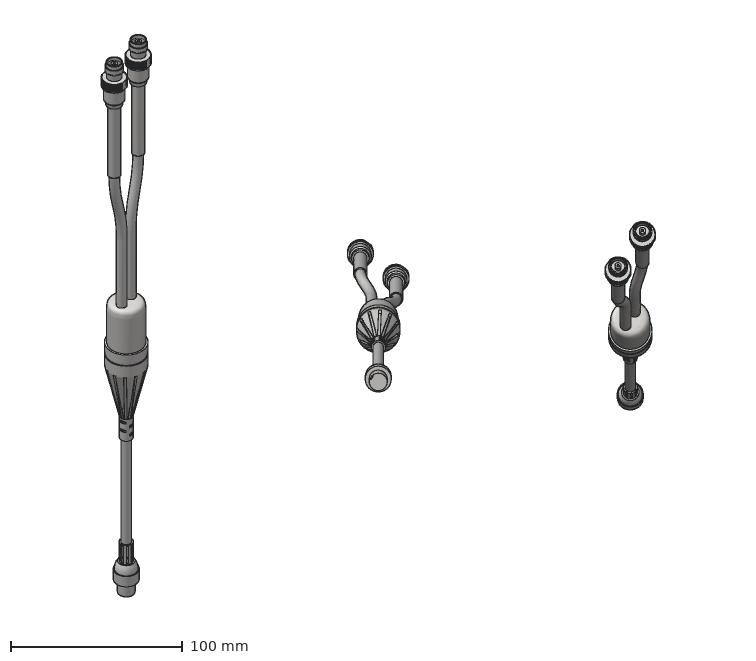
import cadquery as cq
import math

OVERALL_LENGTH = 399.35
CABLE_DIAMETER = 6.35
COLLAR_DIAMETER = 15.24

KEY_WIDTH = 2.03
KEY_THICKNESS = 0.79
KEY_LENGTH = 3.0
BARREL_DIAMETER = 10.6
BARREL_BOTTOM = 0.8
BARREL_CHAMFER_WIDTH = 0.15
BARREL_CHAMFER_HEIGHT = 1.2
PLUG_COLLAR_BOTTOM = 10.2
PLUG_COLLAR_TOP = 17.8
DOME_BASE_DIAMETER = 14.0
DOME_TOP_DIAMETER = 10.16
DOME_TOP = 23.8
DOME_BULGE = 0.6

GRIP_DIAMETER = 8.26
PLUG_GRIP_TOP = 37.8
FLUTE_COUNT = 8
FLUTE_WIDTH = 1.27
FLUTE_DEPTH = 0.5
GRIP_BAND_Z = 28.4
GRIP_BAND_WIDTH = 1.0
GRIP_RIM = 0.7

BOOT_BOTTOM = 114.7
BOOT_CONE_BOTTOM = 130.7
BOOT_SLOT_COUNT = 2
BOOT_SLOT_HEIGHT = 1.27
BOOT_SLOT_PITCH = 6.2
BOOT_SLOT_DEPTH = 0.55
BOOT_FIRST_SLOT_Z = 118.8
CONE_FLUTE_COUNT = 12
CONE_FLUTE_WIDTH = 1.6
CONE_FLUTE_TOP_DEPTH = 2.0
CONE_FLUTE_BOTTOM_DEPTH = 0.4

HOUSING_BOTTOM = 168.0
HOUSING_STEP = 184.9
HOUSING_TOP = 215.2
HOUSING_DIAMETER = 23.0
HOUSING_BASE_DIAMETER = 25.35
CROWN_FLAT_DIAMETER = 13.0
CROWN_HEIGHT = 5.08
CROWN_SHOULDER_DIAMETER = 21.2
CROWN_SHOULDER_DROP = 1.1
HOUSING_SEAM_Z = 176.9
HOUSING_SEAM_WIDTH = 0.4
HOUSING_SEAM_DEPTH = 0.3

BRANCH_LOWER_SPACING = 9.65
BRANCH_UPPER_SPACING = 25.4
BEND_BOTTOM = 265.5
BEND_TOP = 316.3
SLEEVE_DIAMETER = 7.8

JACK_DIAMETER = 9.65
JACK_LIP_DIAMETER = 11.0
JACK_LIP_TOP = 2.6
JACK_LIP_BOTTOM = 6.0
JACK_NECK_DIAMETER = 9.0
JACK_COLLAR_TOP = 11.0
JACK_COLLAR_BOTTOM = 17.2
JACK_BODY_DIAMETER = 12.7
JACK_BODY_BOTTOM = 27.0
JACK_TAIL_TOP_DIAMETER = 10.8
JACK_TAIL_TOP = 28.2
JACK_TAIL_BOTTOM_DIAMETER = 10.0
JACK_TAIL_BOTTOM = 31.0
JACK_BORE_DIAMETER = 8.26
JACK_BORE_DEPTH = 6.0
CONTACT_DIAMETER = 3.61
CONTACT_HOLE_DIAMETER = 1.4
CONTACT_RECESS = 1.0
KNURL_COUNT = 36
KNURL_WIDTH = 0.6
KNURL_DEPTH = 0.4
KNURL_RIM = 0.9
COLLAR_FLAT_WIDTH = 4.8


def cylinder(diameter, bottom, top):
    return cq.Workplane("XY", origin=(0, 0, bottom)).circle(diameter / 2).extrude(top - bottom)


def revolve_steps(steps):
    """Solid of revolution about Z from (diameter, z) steps listed bottom to top."""
    profile = [(diameter / 2, z) for diameter, z in steps]
    axis_ends = [(0, steps[-1][1]), (0, steps[0][1])]
    return cq.Workplane("XZ").polyline(profile + axis_ends).close().revolve(360, (0, 0), (0, 1))


def ring_groove(diameter, depth, z, width):
    outer = cylinder(2 * diameter, z - width / 2, z + width / 2)
    return outer.cut(cylinder(diameter - 2 * depth, z - width / 2, z + width / 2))


def around_z(tool, count):
    """Copies of the tool spaced evenly around Z, as one compound."""
    copies = [tool.rotate((0, 0, 0), (0, 0, 1), 360 * i / count).val() for i in range(count)]
    return cq.Workplane(cq.Compound.makeCompound(copies))


def flute(width, bottom, bottom_radius, top, top_radius, reach):
    """Straight cutter on the +X side whose floor runs between the two radii."""
    corners = [(bottom_radius, bottom), (reach, bottom), (reach, top), (top_radius, top)]
    return cq.Workplane("XZ").polyline(corners).close().extrude(width / 2, both=True)


def make_plug():
    barrel = revolve_steps([
        (BARREL_DIAMETER - 2 * BARREL_CHAMFER_WIDTH, BARREL_BOTTOM),
        (BARREL_DIAMETER, BARREL_BOTTOM + BARREL_CHAMFER_HEIGHT),
        (BARREL_DIAMETER, PLUG_COLLAR_BOTTOM),
    ])
    collar = cylinder(COLLAR_DIAMETER, PLUG_COLLAR_BOTTOM, PLUG_COLLAR_TOP)
    dome_middle = (
        (DOME_BASE_DIAMETER + DOME_TOP_DIAMETER) / 4 + DOME_BULGE,
        (PLUG_COLLAR_TOP + DOME_TOP) / 2,
    )
    dome = (
        cq.Workplane("XZ")
        .moveTo(0, PLUG_COLLAR_TOP)
        .lineTo(DOME_BASE_DIAMETER / 2, PLUG_COLLAR_TOP)
        .threePointArc(dome_middle, (DOME_TOP_DIAMETER / 2, DOME_TOP))
        .lineTo(0, DOME_TOP)
        .close()
        .revolve(360, (0, 0), (0, 1))
    )
    key = cq.Workplane("XY").box(KEY_WIDTH, KEY_THICKNESS, KEY_LENGTH, centered=(True, True, False))
    key_y = (BARREL_DIAMETER - KEY_THICKNESS) / 2 - BARREL_CHAMFER_WIDTH
    return barrel.union(collar).union(dome).union(key.translate((0, key_y, 0)))


def make_plug_grip():
    grip = cylinder(GRIP_DIAMETER, DOME_TOP, PLUG_GRIP_TOP)
    floor_radius = GRIP_DIAMETER / 2 - FLUTE_DEPTH
    spans = [
        (DOME_TOP + GRIP_RIM, GRIP_BAND_Z - GRIP_BAND_WIDTH / 2),
        (GRIP_BAND_Z + GRIP_BAND_WIDTH / 2, PLUG_GRIP_TOP - GRIP_RIM),
    ]
    for bottom, top in spans:
        cutter = flute(FLUTE_WIDTH, bottom, floor_radius, top, floor_radius, GRIP_DIAMETER)
        grip = grip.cut(around_z(cutter, FLUTE_COUNT))
    return grip


def make_boot():
    boot = revolve_steps([
        (GRIP_DIAMETER, BOOT_BOTTOM),
        (GRIP_DIAMETER, BOOT_CONE_BOTTOM),
        (HOUSING_BASE_DIAMETER, HOUSING_BOTTOM),
    ])
    cutter = flute(
        CONE_FLUTE_WIDTH,
        BOOT_CONE_BOTTOM,
        GRIP_DIAMETER / 2 - CONE_FLUTE_BOTTOM_DEPTH,
        HOUSING_BOTTOM,
        HOUSING_BASE_DIAMETER / 2 - CONE_FLUTE_TOP_DEPTH,
        HOUSING_BASE_DIAMETER,
    )
    boot = boot.cut(around_z(cutter, CONE_FLUTE_COUNT))
    slot_center = GRIP_DIAMETER - BOOT_SLOT_DEPTH
    for i in range(2 * BOOT_SLOT_COUNT):
        z = BOOT_FIRST_SLOT_Z + i * BOOT_SLOT_PITCH / 2
        slot = cq.Workplane("XY").box(GRIP_DIAMETER, GRIP_DIAMETER, BOOT_SLOT_HEIGHT)
        for side in (-1, 1):
            offset = (side * slot_center, 0, z) if i % 2 == 0 else (0, side * slot_center, z)
            boot = boot.cut(slot.translate(offset))
    return boot


def make_housing():
    base = cylinder(HOUSING_BASE_DIAMETER, HOUSING_BOTTOM, HOUSING_STEP)
    base = base.cut(
        ring_groove(HOUSING_BASE_DIAMETER, HOUSING_SEAM_DEPTH, HOUSING_SEAM_Z, HOUSING_SEAM_WIDTH)
    )
    shoulder = (CROWN_SHOULDER_DIAMETER / 2, HOUSING_TOP - CROWN_SHOULDER_DROP)
    flat_edge = (CROWN_FLAT_DIAMETER / 2, HOUSING_TOP)
    crown = (
        cq.Workplane("XZ")
        .moveTo(0, HOUSING_STEP)
        .lineTo(HOUSING_DIAMETER / 2, HOUSING_STEP)
        .lineTo(HOUSING_DIAMETER / 2, HOUSING_TOP - CROWN_HEIGHT)
        .spline([shoulder, flat_edge], tangents=[(0, 1), (-1, 0)], includeCurrent=True)
        .lineTo(0, HOUSING_TOP)
        .close()
        .revolve(360, (0, 0), (0, 1))
    )
    return base.union(crown)


def make_jack():
    """Jack centred on Z, with its open end at the overall length."""
    end = OVERALL_LENGTH
    jack = revolve_steps([
        (JACK_TAIL_BOTTOM_DIAMETER, end - JACK_TAIL_BOTTOM),
        (JACK_TAIL_TOP_DIAMETER, end - JACK_TAIL_TOP),
        (JACK_BODY_DIAMETER, end - JACK_BODY_BOTTOM),
        (JACK_BODY_DIAMETER, end - JACK_COLLAR_BOTTOM),
        (COLLAR_DIAMETER, end - JACK_COLLAR_BOTTOM),
        (COLLAR_DIAMETER, end - JACK_COLLAR_TOP),
        (JACK_NECK_DIAMETER, end - JACK_COLLAR_TOP),
        (JACK_DIAMETER, end - JACK_LIP_BOTTOM),
        (JACK_LIP_DIAMETER, end - JACK_LIP_BOTTOM),
        (JACK_LIP_DIAMETER, end - JACK_LIP_TOP),
        (JACK_DIAMETER, end - JACK_LIP_TOP),
        (JACK_DIAMETER, end),
    ])
    bore_floor = end - JACK_BORE_DEPTH
    contact_end = end - CONTACT_RECESS
    jack = jack.cut(cylinder(JACK_BORE_DIAMETER, bore_floor, end))
    jack = jack.union(cylinder(CONTACT_DIAMETER, bore_floor, contact_end))
    jack = jack.cut(cylinder(CONTACT_HOLE_DIAMETER, bore_floor, contact_end))
    return cut_knurl(jack, end - JACK_COLLAR_BOTTOM, end - JACK_COLLAR_TOP)


def cut_knurl(jack, bottom, top):
    """Knurl the collar all round, except for a flat on each X side."""
    radius = COLLAR_DIAMETER / 2
    floor = radius - KNURL_DEPTH
    cutter = flute(KNURL_WIDTH, bottom + KNURL_RIM, floor, top, floor, COLLAR_DIAMETER)
    flat_distance = math.sqrt(radius ** 2 - (COLLAR_FLAT_WIDTH / 2) ** 2)
    for i in range(KNURL_COUNT):
        angle = 2 * math.pi * i / KNURL_COUNT
        outside_flats = abs(radius * math.cos(angle)) < flat_distance
        if outside_flats:
            jack = jack.cut(cutter.rotate((0, 0, 0), (0, 0, 1), math.degrees(angle)))
    flat = flute(COLLAR_DIAMETER, bottom, flat_distance, top, flat_distance, COLLAR_DIAMETER)
    return jack.cut(around_z(flat, 2))


def make_branch():
    """Branch on the +Y side: straight cable, S-bend of two equal arcs, sleeve and jack."""
    lower_y = BRANCH_LOWER_SPACING / 2
    upper_y = BRANCH_UPPER_SPACING / 2
    shift = upper_y - lower_y
    rise = BEND_TOP - BEND_BOTTOM
    bend_angle = 2 * math.atan2(shift, rise)
    bend_radius = rise / 2 / math.sin(bend_angle)
    middle = (lower_y + shift / 2, BEND_BOTTOM + rise / 2)
    half_sagitta = bend_radius * (1 - math.cos(bend_angle / 2))
    half_rise = bend_radius * math.sin(bend_angle / 2)
    path = (
        cq.Workplane("YZ")
        .moveTo(lower_y, BEND_BOTTOM)
        .threePointArc((lower_y + half_sagitta, BEND_BOTTOM + half_rise), middle)
        .threePointArc((upper_y - half_sagitta, BEND_TOP - half_rise), (upper_y, BEND_TOP))
    )
    section = cq.Workplane("XY", origin=(0, lower_y, BEND_BOTTOM)).circle(CABLE_DIAMETER / 2)
    bend = section.sweep(path)
    straight = cylinder(CABLE_DIAMETER, HOUSING_TOP, BEND_BOTTOM)
    sleeve = cylinder(SLEEVE_DIAMETER, BEND_TOP, OVERALL_LENGTH - JACK_TAIL_BOTTOM)
    upper = sleeve.union(make_jack()).translate((0, upper_y, 0))
    return straight.translate((0, lower_y, 0)).union(bend).union(upper)


trunk_cable = cylinder(CABLE_DIAMETER, PLUG_GRIP_TOP, BOOT_BOTTOM)
branch = make_branch()

result = make_plug().union(make_plug_grip()).union(trunk_cable).union(make_boot())
result = result.union(make_housing())
for turn in (0, 180):
    result = result.union(branch.rotate((0, 0, 0), (0, 0, 1), turn))